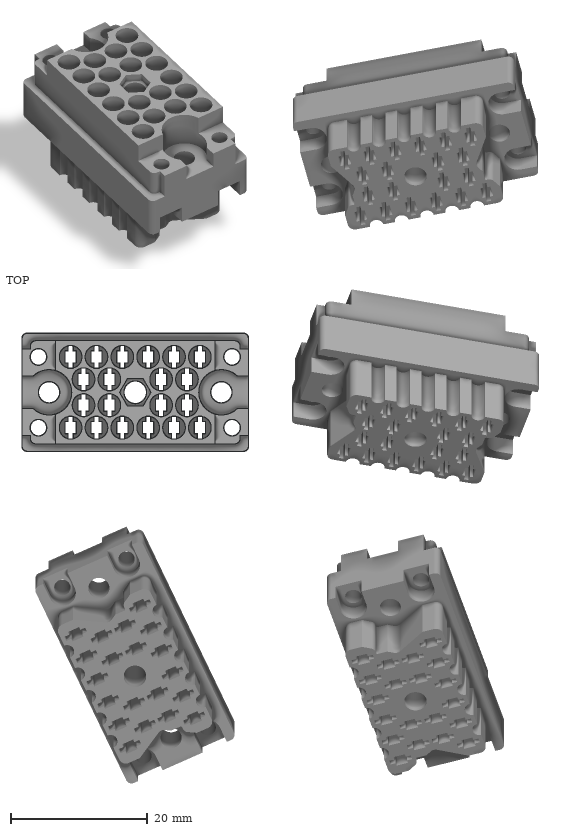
import cadquery as cq
import math

BODY_LENGTH = 33.32
BODY_WIDTH = 17.43
BODY_CORNER_RADIUS = 0.83
SHOULDER_WIDTH = 15.15
SHOULDER_CORNER_RADIUS = 0.8
SHOULDER_INSET_LENGTH = 30.82
SHOULDER_TAB_WIDTH = 12.65

BLOCK_LENGTH = 23.4
TAIL_WIDTH = 14.93
TAIL_CORNER_RADIUS = 1.05

BODY_BOTTOM = 6.8
BODY_TOP = 13.25
SHOULDER_TOP = 17.25
TOTAL_HEIGHT = 20.25

CONTACT_PITCH = 3.8
CONTACT_BORE = 3.33
BORE_FLOOR = BODY_BOTTOM
OUTER_ROW_Y = 5.2
INNER_ROW_Y = CONTACT_PITCH / 2
OUTER_ROW_STEPS = (-2.5, -1.5, -0.5, 0.5, 1.5, 2.5)
INNER_ROW_STEPS = (-2, -1, 1, 2)
SLIT_WIDTH = 0.7
WINDOW_WIDTH = 1.6
WINDOW_LENGTH = 1.75

CENTRE_HOLE = 3.3
NUT_FLATS = 4
NUT_DEPTH = 1.25

FIXING_X = 12.65
FIXING_HOLE = 3.1
FIXING_RECESS = 6.65
RECESS_FLOOR = 14.73
RECESS_MOUTH_WIDTH = 4.75

GUIDE_X = 14.23
GUIDE_Y = 5.2
GUIDE_HOLE = 2.4
GUIDE_SLOT_WIDTH = 3.95
GUIDE_SLOT_TOP = 9.55

GROOVE_WIDTH = 2.03
RELIEF_CORNER_X = 9.03
RELIEF_SLOPE_ANGLE = 30
RELIEF_SLOPE = math.tan(math.radians(RELIEF_SLOPE_ANGLE))
RELIEF_CORNER_RADIUS = 0.95
KEY_START_Y = 1.33
KEY_WALL_Y = 3
KEY_ROOT_RADIUS = 0.2
KEY_LIP_RADIUS = 0.83

ENDS = (-1, 1)


def box(length, width, bottom, top, x=0, y=0):
    """Box centred on (x, y), between two levels."""
    return cq.Workplane("XY", origin=(x, y, bottom)).rect(length, width).extrude(top - bottom)


def rod(diameter, bottom, top, x=0, y=0):
    """Upright cylinder centred on (x, y), between two levels."""
    return cq.Workplane("XY", origin=(x, y, bottom)).circle(diameter / 2).extrude(top - bottom)


def make_housing():
    """Flanged body, stepped shoulder and raised contact block."""
    body = box(BODY_LENGTH, BODY_WIDTH, BODY_BOTTOM, BODY_TOP)
    body = body.edges("|Z").fillet(BODY_CORNER_RADIUS)
    shoulder = box(SHOULDER_INSET_LENGTH, SHOULDER_WIDTH, BODY_TOP, SHOULDER_TOP)
    shoulder = shoulder.edges("|Z").fillet(SHOULDER_CORNER_RADIUS)
    tabs = box(BODY_LENGTH, SHOULDER_TAB_WIDTH, BODY_TOP, SHOULDER_TOP)
    block = box(BLOCK_LENGTH, SHOULDER_WIDTH, BODY_TOP, TOTAL_HEIGHT)
    return body.union(shoulder).union(tabs).union(block)


def make_key_notch():
    """Notch in the +X relief: flat floor, side wall with rounded root and lip."""
    floor_x = RELIEF_CORNER_X + KEY_START_Y * RELIEF_SLOPE
    lip_turn = math.radians(90 - RELIEF_SLOPE_ANGLE)
    lip_end_y = KEY_WALL_Y + KEY_LIP_RADIUS * (1 - math.cos(lip_turn))
    lip_end_x = RELIEF_CORNER_X + lip_end_y * RELIEF_SLOPE
    lip_start_x = lip_end_x - KEY_LIP_RADIUS * math.sin(lip_turn)
    lip_middle = (
        lip_start_x + KEY_LIP_RADIUS * math.sin(lip_turn / 2),
        -KEY_WALL_Y - KEY_LIP_RADIUS * (1 - math.cos(lip_turn / 2)),
    )
    root_offset = KEY_ROOT_RADIUS * (1 - math.sqrt(0.5))
    return (
        cq.Workplane("XY")
        .moveTo(floor_x, -KEY_START_Y)
        .lineTo(floor_x, -KEY_WALL_Y + KEY_ROOT_RADIUS)
        .threePointArc(
            (floor_x + root_offset, -KEY_WALL_Y + root_offset),
            (floor_x + KEY_ROOT_RADIUS, -KEY_WALL_Y),
        )
        .lineTo(lip_start_x, -KEY_WALL_Y)
        .threePointArc(lip_middle, (lip_end_x, -lip_end_y))
        .lineTo(FIXING_X, -lip_end_y)
        .lineTo(FIXING_X, -KEY_START_Y)
        .close()
        .extrude(BODY_BOTTOM)
    )


def make_relief_wedge():
    """Wedge around the +X fixing screw, widening outwards from a rounded corner."""
    half_mouth = (FIXING_X - RELIEF_CORNER_X) / RELIEF_SLOPE
    outline = [(RELIEF_CORNER_X, 0), (FIXING_X, -half_mouth), (FIXING_X, half_mouth)]
    wedge = cq.Workplane("XY").polyline(outline).close().extrude(BODY_BOTTOM)
    return wedge.edges("|Z and <X").fillet(RELIEF_CORNER_RADIUS)


def make_tail():
    """Tail with side grooves between contacts and a keyed relief at each end."""
    tail = box(BLOCK_LENGTH, TAIL_WIDTH, 0, BODY_BOTTOM)
    tail = tail.edges("|Z").fillet(TAIL_CORNER_RADIUS)
    for side in ENDS:
        for step in range(-2, 3):
            tail = tail.cut(rod(GROOVE_WIDTH, 0, BODY_BOTTOM, step * CONTACT_PITCH, side * TAIL_WIDTH / 2))
    relief = make_relief_wedge().union(make_key_notch())
    return tail.cut(relief).cut(relief.mirror("YZ"))


def contact_points():
    """Cavity centres: two outer rows of six and two inner rows of four."""
    rows = ((OUTER_ROW_STEPS, OUTER_ROW_Y), (INNER_ROW_STEPS, INNER_ROW_Y))
    return [(step * CONTACT_PITCH, side * row_y) for steps, row_y in rows for side in ENDS for step in steps]


def cut_contacts(part):
    """Round bores from the top, each leading into a cross-shaped opening through the tail."""
    points = contact_points()
    lower = cq.Workplane("XY").pushPoints(points)
    upper = cq.Workplane("XY", origin=(0, 0, BORE_FLOOR)).pushPoints(points)
    part = part.cut(lower.rect(SLIT_WIDTH, CONTACT_BORE).extrude(BORE_FLOOR))
    part = part.cut(lower.rect(WINDOW_WIDTH, WINDOW_LENGTH).extrude(BORE_FLOOR))
    return part.cut(upper.circle(CONTACT_BORE / 2).extrude(TOTAL_HEIGHT - BORE_FLOOR))


def cut_centre_screw(part):
    """Through hole with a hexagonal nut pocket in the top face."""
    part = part.cut(rod(CENTRE_HOLE, 0, TOTAL_HEIGHT))
    nut_corners = NUT_FLATS / math.cos(math.pi / 6)
    pocket = cq.Workplane("XY", origin=(0, 0, TOTAL_HEIGHT)).polygon(6, nut_corners).extrude(-NUT_DEPTH)
    return part.cut(pocket)


def cut_fixing(part, end):
    """Screw hole with a round recess that opens to the end face."""
    x = end * FIXING_X
    mouth_length = BODY_LENGTH / 2 - FIXING_X
    mouth_x = x + end * mouth_length / 2
    part = part.cut(rod(FIXING_HOLE, BODY_BOTTOM, TOTAL_HEIGHT, x))
    part = part.cut(rod(FIXING_RECESS, RECESS_FLOOR, TOTAL_HEIGHT, x))
    return part.cut(box(mouth_length, RECESS_MOUTH_WIDTH, RECESS_FLOOR, TOTAL_HEIGHT, mouth_x))


def cut_guide(part, end, side):
    """Guide hole with a round-ended slot beneath it, open to the end face."""
    x = end * GUIDE_X
    y = side * GUIDE_Y
    slot_length = BODY_LENGTH / 2 - GUIDE_X
    slot_x = x + end * slot_length / 2
    part = part.cut(rod(GUIDE_HOLE, BODY_BOTTOM, SHOULDER_TOP, x, y))
    part = part.cut(rod(GUIDE_SLOT_WIDTH, BODY_BOTTOM, GUIDE_SLOT_TOP, x, y))
    return part.cut(box(slot_length, GUIDE_SLOT_WIDTH, BODY_BOTTOM, GUIDE_SLOT_TOP, slot_x, y))


part = make_housing().union(make_tail())
part = cut_contacts(part)
part = cut_centre_screw(part)
for end in ENDS:
    part = cut_fixing(part, end)
    for side in ENDS:
        part = cut_guide(part, end, side)

result = part